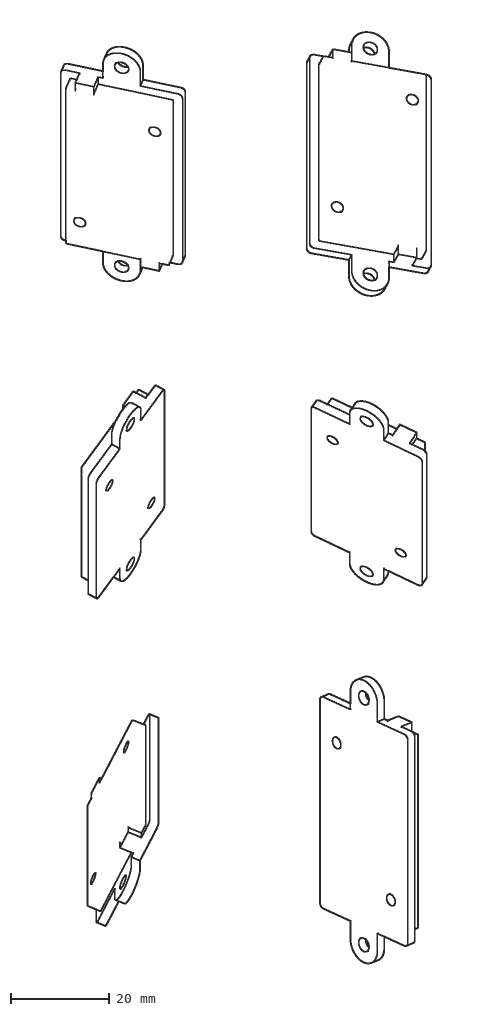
import cadquery as cq

plate_width = 26.0
plate_height = 48.0
plate_thickness = 2.0
plate_corner_radius = 1.0

total_depth = 5.0
panel_margin = 2.0
panel_edge_radius = 0.3
panel_width = plate_width - 2 * panel_margin
panel_height = plate_height - 2 * panel_margin
panel_depth = total_depth - plate_thickness

total_height = 64.0
ear_width = 8.0
ear_hole_diameter = 3.0
ear_center_z = total_height / 2 - ear_width / 2

key_width = 4.0
key_center_x = 7.0
key_overlap = 2 * panel_edge_radius

panel_hole_diameter = 2.5
panel_hole_x = 8.0
panel_hole_z = 15.0


def front_plane(y):
    """Sketch plane facing -Y, with local axes along +X and +Z."""
    return cq.Workplane("XZ", origin=(0, y, 0))


def make_plate():
    return (
        front_plane(0)
        .rect(plate_width, plate_height)
        .extrude(plate_thickness)
        .edges("|Y")
        .fillet(plate_corner_radius)
    )


def make_ears():
    return (
        front_plane(0)
        .slot2D(total_height, ear_width, 90)
        .extrude(plate_thickness)
    )


def make_panel():
    return (
        front_plane(-plate_thickness)
        .rect(panel_width, panel_height)
        .extrude(panel_depth)
        .edges("|Y or <Y")
        .fillet(panel_edge_radius)
    )


def make_key(end):
    """Full-depth key at the top (end=1) or bottom (end=-1) of the panel."""
    key_length = panel_margin + key_overlap
    key_center_z = plate_height / 2 - key_length / 2
    return (
        front_plane(0)
        .center(-end * key_center_x, end * key_center_z)
        .rect(key_width, key_length)
        .extrude(total_depth)
    )


def make_holes(points, diameter):
    return front_plane(0).pushPoints(points).circle(diameter / 2).extrude(total_depth)


body = make_plate().union(make_ears()).union(make_panel())
for end in (1, -1):
    body = body.union(make_key(end))

ear_holes = make_holes([(0, ear_center_z), (0, -ear_center_z)], ear_hole_diameter)
panel_holes = make_holes(
    [(panel_hole_x, panel_hole_z), (-panel_hole_x, -panel_hole_z)],
    panel_hole_diameter,
)
result = body.cut(ear_holes).cut(panel_holes).clean()